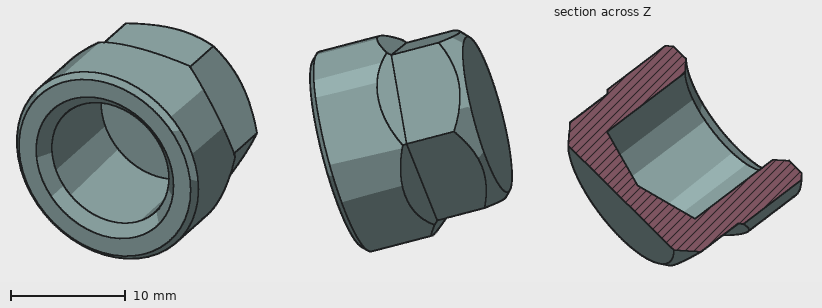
import cadquery as cq
import math

length = 13.5
collar_diameter = 18.0
hex_across_flats = 15.0
shoulder_y = 7.5
edge_chamfer = 0.5
bore_diameter = 11.6
bore_depth = 10.0
countersink_width = 1.0
countersink_depth = 1.0
bottom_cone_angle = 150.0

collar_radius = collar_diameter / 2
bore_radius = bore_diameter / 2
hex_corner_radius = hex_across_flats / 2 / math.cos(math.radians(30))


def revolve_profile(points):
    """Revolve (radius, y) points about the Y axis."""
    return cq.Workplane("XY").polyline(points).close().revolve(360, (0, 0, 0), (0, 1, 0))


def hex_prism_end(y, corner_radius):
    """Hexagon normal to Y, with corners on the X axis."""
    plane = cq.Plane(origin=(0, y, 0), xDir=(1, 0, 0), normal=(0, 1, 0))
    return cq.Workplane(plane).polygon(6, 2 * corner_radius)


def make_collar():
    """Chamfered cylinder whose back is cut by six 45 degree faces."""
    cylinder = revolve_profile([
        (0, 0),
        (collar_radius - edge_chamfer, 0),
        (collar_radius, edge_chamfer),
        (collar_radius, shoulder_y),
        (0, shoulder_y),
    ])
    front_corner_radius = hex_corner_radius + shoulder_y / math.cos(math.radians(30))
    pyramid = (
        hex_prism_end(0, front_corner_radius)
        .workplane(offset=shoulder_y)
        .polygon(6, 2 * hex_corner_radius)
        .loft(ruled=True)
    )
    return cylinder.intersect(pyramid)


def make_hexagon():
    """Hexagonal prism with its back corners turned off at 45 degrees."""
    hex_length = length - shoulder_y
    prism = hex_prism_end(shoulder_y, hex_corner_radius).extrude(hex_length)
    end_radius = hex_across_flats / 2 - edge_chamfer
    turned_cone = revolve_profile([
        (0, shoulder_y),
        (end_radius + hex_length, shoulder_y),
        (end_radius, length),
        (0, length),
    ])
    return prism.intersect(turned_cone)


def make_bore():
    """Countersunk blind bore with a conical bottom."""
    point_depth = bore_radius / math.tan(math.radians(bottom_cone_angle / 2))
    return revolve_profile([
        (0, 0),
        (bore_radius + countersink_width, 0),
        (bore_radius, countersink_depth),
        (bore_radius, bore_depth),
        (0, bore_depth + point_depth),
    ])


result = make_collar().union(make_hexagon()).cut(make_bore())